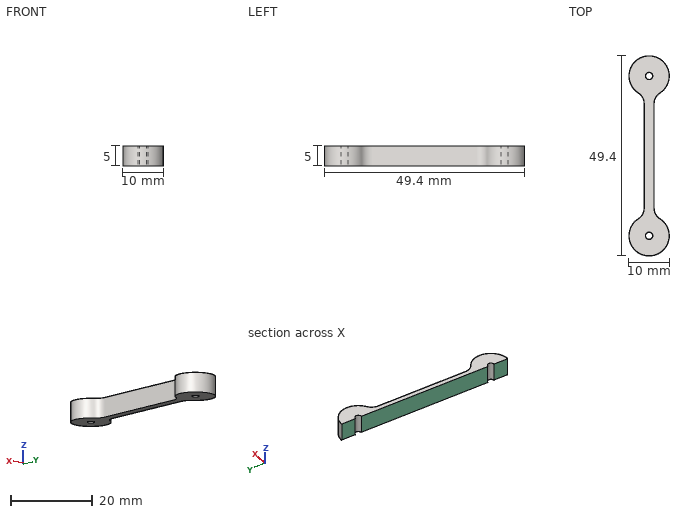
import cadquery as cq
import math

overall_length = 49.4
head_diameter = 10.0
thickness = 5.0
bar_width = 2.5
neck_radius = 3.0
hole_diameter = 1.75

head_radius = head_diameter / 2
half_bar = bar_width / 2
head_center_y = overall_length / 2 - head_radius

neck_center_x = half_bar + neck_radius
center_distance = head_radius + neck_radius
neck_offset_y = math.sqrt(center_distance**2 - neck_center_x**2)
neck_end_y = head_center_y - neck_offset_y

head_share = head_radius / center_distance
tangent_x = neck_center_x * head_share
tangent_y = head_center_y - neck_offset_y * head_share

neck_angle = math.atan2(neck_offset_y, -neck_center_x)
mid_angle = (neck_angle + math.pi) / 2
mid_x = neck_center_x + neck_radius * math.cos(mid_angle)
mid_y = neck_end_y + neck_radius * math.sin(mid_angle)


def link_body():
    """Two round heads joined by a straight bar with concave necks."""
    outline = (
        cq.Workplane("XY")
        .moveTo(half_bar, -neck_end_y)
        .lineTo(half_bar, neck_end_y)
        .threePointArc((mid_x, mid_y), (tangent_x, tangent_y))
        .threePointArc((0, overall_length / 2), (-tangent_x, tangent_y))
        .threePointArc((-mid_x, mid_y), (-half_bar, neck_end_y))
        .lineTo(-half_bar, -neck_end_y)
        .threePointArc((-mid_x, -mid_y), (-tangent_x, -tangent_y))
        .threePointArc((0, -overall_length / 2), (tangent_x, -tangent_y))
        .threePointArc((mid_x, -mid_y), (half_bar, -neck_end_y))
        .close()
    )
    return outline.extrude(thickness)


def head_holes():
    """A through hole at the center of each head."""
    centers = [(0, -head_center_y), (0, head_center_y)]
    return cq.Workplane("XY").pushPoints(centers).circle(hole_diameter / 2).extrude(thickness)


result = link_body().cut(head_holes())